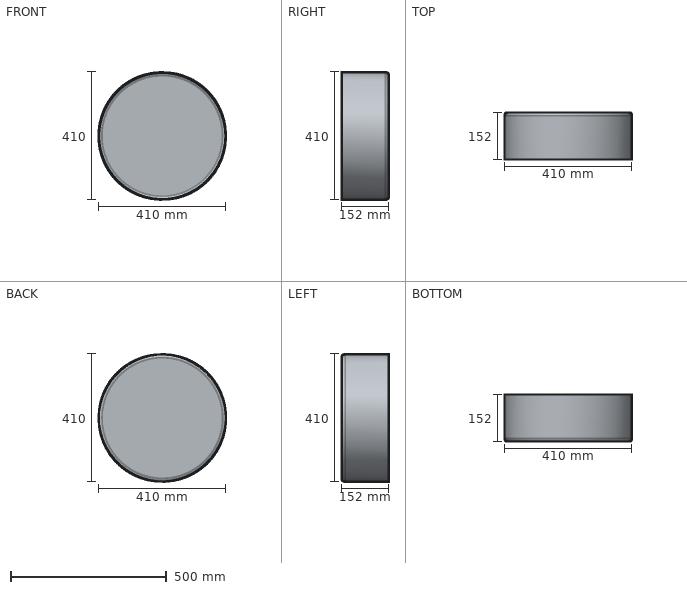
import cadquery as cq

outer_diameter = 410.0
depth = 152.0
wall = 2.0
corner_radius = 10.2

inner_diameter = outer_diameter - 2 * wall


def rounded_disc(diameter, length):
    """Cylinder from the open rim at Y = 0 toward +Y, with its far edge rounded."""
    cylinder = cq.Workplane("XZ").circle(diameter / 2).extrude(-length)
    return cylinder.faces(">Y").edges().fillet(corner_radius)


outer_body = rounded_disc(outer_diameter, depth)
cavity = rounded_disc(inner_diameter, depth - wall)

result = outer_body.cut(cavity)